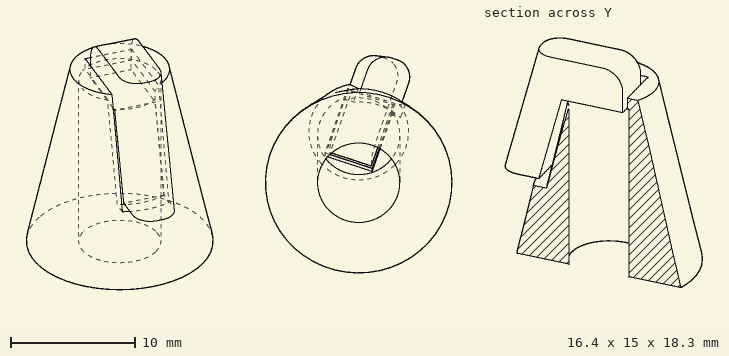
import cadquery as cq

base_radius = 7.5
top_radius = 4.0
housing_height = 16.2
rim_height = 0.2

bore_radius = 3.303
roof_thickness = 1.0
slot_depth = 1.1

slot_width = 4.0
slot_left = -2.53
slot_floor = 6.5

side_clearance = 0.25
end_clearance = 0.53
floor_clearance = 0.55
lever_top = 18.3
lever_top_right = 5.95
lever_bottom_right = 8.93
nose_radius = 1.8
edge_radius = 1.5
inner_bottom = 5.42
arm_underside = 14.64

lever_width = slot_width - 2 * side_clearance
lever_left = slot_left + end_clearance
lever_bottom = slot_floor + floor_clearance
roof_underside = housing_height - roof_thickness
lever_slope = (lever_bottom_right - lever_top_right) / (lever_top - lever_bottom)
inner_top = inner_bottom - lever_slope * (arm_underside - lever_bottom)


def outer_radius(height):
    """Radius of the conical outside at a height above the rim."""
    taper = (base_radius - top_radius) / (housing_height - rim_height)
    return base_radius - taper * (height - rim_height)


def revolve_profile(points):
    """Turn an (r, z) outline about the Z axis."""
    return cq.Workplane("XZ").polyline(points).close().revolve(360, (0, 0), (0, 1))


def make_housing():
    shell = revolve_profile([
        (0, 0),
        (base_radius, 0),
        (base_radius, rim_height),
        (top_radius, housing_height),
        (0, housing_height),
    ])

    bore = cq.Workplane("XY").circle(bore_radius).extrude(roof_underside)

    core = revolve_profile([
        (0, 0),
        (outer_radius(0) - slot_depth, 0),
        (outer_radius(roof_underside) - slot_depth, roof_underside),
        (0, roof_underside),
    ])

    slot = cq.Workplane("XY").box(
        base_radius - slot_left,
        slot_width,
        housing_height - slot_floor,
        centered=(False, True, False),
    ).translate((slot_left, 0, slot_floor))
    return shell.cut(bore).cut(slot.cut(core))


def make_lever():
    body = (
        cq.Workplane("XZ")
        .polyline([
            (lever_left, arm_underside),
            (inner_top, arm_underside),
            (inner_bottom, lever_bottom),
            (lever_bottom_right, lever_bottom),
            (lever_top_right, lever_top),
            (lever_left, lever_top),
        ])
        .close()
        .extrude(lever_width / 2, both=True)
    )
    body = body.faces("<X").edges(">Z").fillet(nose_radius)
    long_edges = body.faces(">X").edges("not |Y")
    return long_edges.fillet(edge_radius)


housing = make_housing()
lever = make_lever()

result = cq.Compound.makeCompound([housing.val(), lever.val()])